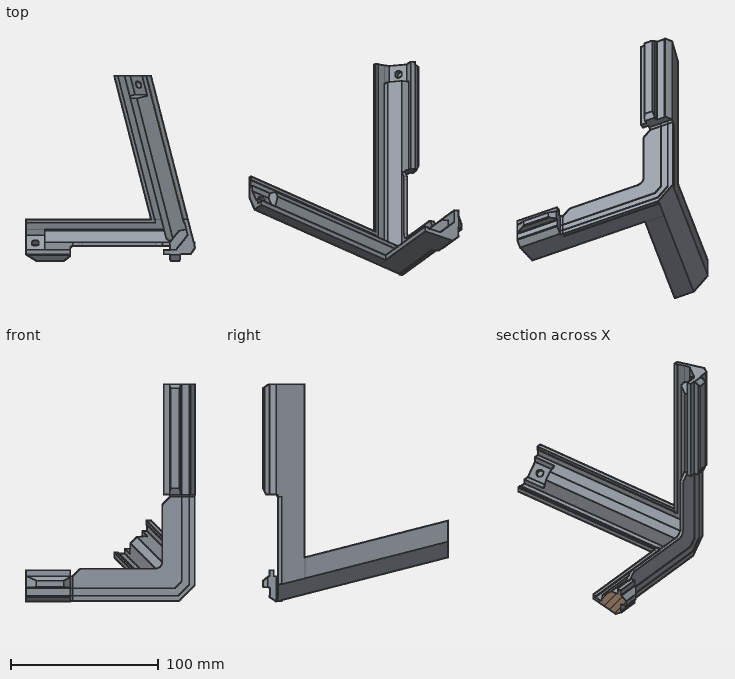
import cadquery as cq
import math


x_arm_length = 114.5
z_arm_length = 147.0
depth = 125.3
clear = 220.5

sleeve_front = 4.4
sleeve_back = 7.5
corner_y = 9.0
plate_front = 10.1
plate_back = 12.6
fill_top_y = 20.5
fill_end_y = 21.3
lip_start_y = 26.0
flange_end_y = 28.2

end_drift = 29.8
slope = end_drift / (depth - corner_y)

wall = 2.8
lip_wall = 3.4

fill_width = 17.2
fill_top_inset = 10.9
sleeve_width = 21.3
sleeve_bevel = 3.1
plate_width = 22.3
plate_radius = 3.0
inner_radius = 4.4
corner_cut = 10.7
z_sleeve_start = 72.3
x_sleeve_start = 84.4
step_bevel_y = 1.25
step_bevel_length = 1.5
pocket_length = 13.0
pocket_floor_start = (13.1, sleeve_back)
pocket_floor_end = (5.1, 17.5)

groove_outer = 4.0
groove_inner = 9.1
groove_depth = 0.3
groove_corner_cut = 9.9

slant_width = 25.0
slant_lip_start = 22.5
slant_fill = 18.0
slant_fill_flat = 13.5
slant_pocket_wall = 6.0
slant_floor_end = 14.1
slant_pocket_y = 112.5

hole_diameter = 4.9
hole_depth = 5.0

margin = 1.5
hole_from_end = 6.5
straight_hole_y = 12.2
slant_hole_y = 119.2


def drift(y):
    """Distance of the sloped outer sides from the corner at depth y."""
    return slope * (y - corner_y)


def along_z(section, start, end):
    """Prism along Z from a section of (inset, y) points."""
    points = [(-inset, y) for inset, y in section]
    return cq.Workplane("XY", origin=(0, 0, start)).polyline(points).close().extrude(end - start)


def along_x(outline, inner_inset, outer_inset):
    """Prism along X from an outline of (y, z) points."""
    plane = cq.Workplane("YZ", origin=(-outer_inset, 0, 0))
    return plane.polyline(outline).close().extrude(outer_inset - inner_inset)


def along_y(outline, start, end):
    """Prism along Y from an outline of (inset, z) points."""
    points = [(-inset, z) for inset, z in outline]
    return cq.Workplane("XZ", origin=(0, start, 0)).polyline(points).close().extrude(start - end)


def swap_axes(solid):
    """Reflect a +Z arm into a -X arm."""
    return solid.mirror((1, 0, 1))


def slanted(section, start, end):
    """Sheared prism following both sloped outer sides between two Y levels."""
    wires = []
    for y in (start, end):
        shift = drift(y)
        points = [cq.Vector(-a - shift, y, b + shift) for a, b in section]
        wires.append(cq.Wire.makePolygon(points, close=True))
    return cq.Workplane(cq.Solid.makeLoft(wires, True))


def hole(start, direction):
    """Blind screw hole going in from a pocket floor."""
    axis = cq.Vector(*direction).normalized()
    entry = cq.Vector(*start) - axis * margin
    return cq.Workplane(cq.Solid.makeCylinder(hole_diameter / 2, hole_depth + margin, entry, axis))


def make_ridge(cross_section, side_outline):
    across = along_z(cross_section, 0, clear)
    return across.intersect(along_x(side_outline, 0, clear))


def make_z_ridge():
    inner, outer = 10.0, fill_width
    edge_width, edge_depth = 0.7, 1.3
    base = sleeve_front
    flat_start, flat_end = 76.7, 144.4
    start_edge_y, end_edge_y = 2.2, 4.1
    cross_section = [
        (inner, base), (inner, edge_depth), (inner + edge_width, 0),
        (outer - edge_width, 0), (outer, edge_depth), (outer, base),
    ]
    side_outline = [
        (base, z_sleeve_start), (start_edge_y, z_sleeve_start), (0, flat_start),
        (0, flat_end), (end_edge_y, z_arm_length), (base, z_arm_length),
    ]
    return make_ridge(cross_section, side_outline)


def make_x_ridge():
    inner, outer = 9.7, fill_width
    flat_inner, flat_outer = 10.1, 14.1
    inner_edge_y, outer_edge_y = 0.7, 4.0
    base = sleeve_front
    flat_start, flat_end = 88.8, 107.3
    start_edge_y = 3.4
    cross_section = [
        (inner, base), (inner, inner_edge_y), (flat_inner, 0),
        (flat_outer, 0), (outer, outer_edge_y), (outer, base),
    ]
    side_outline = [
        (base, x_sleeve_start), (start_edge_y, x_sleeve_start), (0, flat_start),
        (0, flat_end), (base, x_arm_length),
    ]
    return make_ridge(cross_section, side_outline)


def make_arm(length, sleeve_start, ridge):
    """Straight arm along +Z, mitred where it meets its twin along -X."""
    channel = along_z([
        (drift(plate_front), plate_front),
        (fill_width, plate_front),
        (fill_width, plate_back),
        (fill_top_inset, fill_top_y),
        (drift(fill_end_y) + wall, fill_end_y),
        (drift(flange_end_y) + wall, flange_end_y),
        (drift(flange_end_y), flange_end_y),
    ], 0, length)

    lip = along_z([
        (drift(lip_start_y), lip_start_y),
        (drift(lip_start_y) + lip_wall, lip_start_y),
        (drift(flange_end_y) + lip_wall, flange_end_y),
        (drift(flange_end_y), flange_end_y),
    ], slant_lip_start + drift(lip_start_y), length)

    sleeve = along_z([
        (0, corner_y),
        (sleeve_bevel, sleeve_front),
        (sleeve_width, sleeve_front),
        (sleeve_width, sleeve_back),
        (fill_width, sleeve_back),
        (fill_width, plate_front),
        (drift(plate_front), plate_front),
    ], sleeve_start, length)
    step_bevel = along_x([
        (plate_front, sleeve_start - step_bevel_length),
        (plate_front, sleeve_start),
        (plate_front - step_bevel_y, sleeve_start),
    ], drift(plate_front), fill_width)

    pocket = along_z([
        pocket_floor_start,
        pocket_floor_end,
        (fill_width + margin, pocket_floor_end[1] + margin),
        (fill_width + margin, sleeve_back),
    ], length - pocket_length, length)
    fill_tip = along_z([
        pocket_floor_end,
        (drift(fill_end_y) + wall, fill_end_y),
        (fill_width, fill_end_y),
        (fill_width, pocket_floor_end[1]),
    ], length - pocket_length, length)

    sleeve_groove = along_z([
        (groove_outer, 0), (groove_inner, 0),
        (groove_inner, sleeve_front + groove_depth), (groove_outer, sleeve_front + groove_depth),
    ], sleeve_start, length)

    floor_run = pocket_floor_start[0] - pocket_floor_end[0]
    floor_rise = pocket_floor_end[1] - pocket_floor_start[1]
    hole_inset = pocket_floor_start[0] - floor_run * (straight_hole_y - sleeve_back) / floor_rise
    screw_hole = hole(
        (-hole_inset, straight_hole_y, length - hole_from_end), (floor_rise, -floor_run, 0)
    )

    mitre = along_y([(0, 0), (clear, clear), (0, clear)], 0, clear)
    arm = channel.union(lip).union(sleeve).union(step_bevel).cut(sleeve_groove).union(ridge)
    return arm.cut(pocket).cut(fill_tip).cut(screw_hole).intersect(mitre)


def make_plate():
    """L-shaped front plate that stiffens the corner between the straight arms."""
    z_end = z_sleeve_start - step_bevel_length
    x_end = x_sleeve_start - step_bevel_length
    edge = drift(plate_front)
    end_cut = plate_width - fill_width
    plate = along_y([
        (edge, edge), (x_end, edge), (x_end, fill_width), (x_end - end_cut, plate_width),
        (plate_width, plate_width),
        (plate_width, z_end - end_cut), (fill_width, z_end), (edge, z_end),
    ], plate_front, plate_back)

    def round_edge(solid, inset, z, radius):
        near = cq.selectors.BoxSelector(
            (-inset - margin, plate_front - margin, z - margin),
            (-inset + margin, plate_back + margin, z + margin),
        )
        return solid.edges("|Y").edges(near).fillet(radius)

    plate = round_edge(plate, plate_width, plate_width, inner_radius)
    plate = round_edge(plate, plate_width, z_end - end_cut, plate_radius)
    return round_edge(plate, x_end - end_cut, plate_width, plate_radius)


def make_plate_groove():
    """Shallow L-shaped groove that follows the outer edge and the cut corner of the plate."""
    def bend(offset):
        return groove_corner_cut + offset * math.tan(math.pi / 8)

    low, high = groove_outer, groove_inner
    return along_y([
        (x_sleeve_start, low), (bend(low), low), (low, bend(low)), (low, z_sleeve_start),
        (high, z_sleeve_start), (high, bend(high)), (bend(high), high), (x_sleeve_start, high),
    ], plate_front, plate_front + groove_depth)


def make_slanted_arm():
    body = slanted([
        (0, 0), (slant_width, 0), (slant_width, wall), (slant_fill, wall),
        (slant_fill, slant_fill_flat), (slant_fill_flat, slant_fill),
        (wall, slant_fill), (wall, slant_width), (0, slant_width),
    ], plate_front, depth)

    lower_lip = [
        (slant_lip_start, 0), (slant_width, 0),
        (slant_width, lip_wall), (slant_lip_start, lip_wall),
    ]
    upper_lip = [(b, a) for a, b in lower_lip]
    for lip in (lower_lip, upper_lip):
        body = body.union(slanted(lip, lip_start_y, depth))

    beyond = slant_fill + margin
    pocket = slanted([
        (slant_pocket_wall, slant_floor_end), (slant_floor_end, slant_pocket_wall),
        (beyond, slant_pocket_wall), (beyond, beyond), (slant_pocket_wall, beyond),
    ], corner_y, depth + margin)
    floor_middle = (slant_pocket_wall + slant_floor_end) / 2
    wall_inset = floor_middle + drift(slant_pocket_y)
    square_plane = cq.Plane(
        origin=(-wall_inset, slant_pocket_y, wall_inset), xDir=(1, 0, 1), normal=(-slope, 1, slope)
    )
    pocket = pocket.intersect(cq.Workplane(square_plane).rect(clear, clear).extrude(clear))

    hole_inset = floor_middle + drift(slant_hole_y)
    screw_hole = hole((-hole_inset, slant_hole_y, hole_inset), (1, 2 * slope, -1))
    return body.cut(pocket).cut(screw_hole)


z_arm = make_arm(z_arm_length, z_sleeve_start, make_z_ridge())
x_arm = swap_axes(make_arm(x_arm_length, x_sleeve_start, make_x_ridge()))

bevel_reach = corner_cut + margin
bevel_section = [(-margin, -margin), (bevel_reach, -margin), (-margin, bevel_reach)]
corner_bevel = slanted(bevel_section, sleeve_front, depth + margin)

result = z_arm.union(x_arm).union(make_plate()).union(make_slanted_arm())
result = result.cut(make_plate_groove()).cut(corner_bevel)